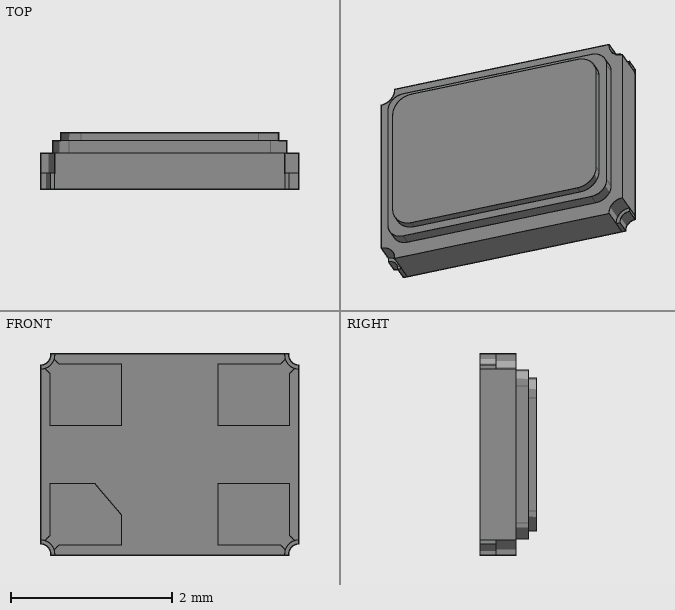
import cadquery as cq

BASE_WIDTH = 3.2
BASE_HEIGHT = 2.5
BASE_DEPTH = 0.448
CASTELLATION_RADIUS = 0.175
NOTCH_INSET = 0.015

RING_WIDTH = 2.902
RING_HEIGHT = 2.1
RING_DEPTH = 0.155
RING_CORNER_RADIUS = 0.2

LID_WIDTH = 2.7
LID_HEIGHT = 1.898
LID_DEPTH = 0.1
LID_CORNER_RADIUS = 0.25

PAD_WIDTH = 0.885
PAD_HEIGHT = 0.76
PAD_SIDE_MARGIN = 0.115
PAD_END_MARGIN = NOTCH_INSET + PAD_SIDE_MARGIN
PAD_DEPTH = 0.01
LINING_RADIUS = 0.125
LINING_DEPTH = 0.2
LINK_REACH = 0.115
BEVEL_WIDTH = 0.333
BEVEL_HEIGHT = 0.39

CORNER_X = BASE_WIDTH / 2
CORNER_Z = BASE_HEIGHT / 2
RING_START = BASE_DEPTH
LID_START = RING_START + RING_DEPTH

CORNERS = [(-1, -1), (1, -1), (-1, 1), (1, 1)]
MARKED_CORNER = (-1, -1)


def plate(width, height, start, depth):
    """A rectangular plate reaching from Y = start to Y = start + depth."""
    return cq.Workplane("XY").box(width, depth, height).translate((0, start + depth / 2, 0))


def corner_post(radius, depth):
    """A round post on the axis of the lower left notch, running back from the front face."""
    return cq.Workplane("XZ").center(-CORNER_X, NOTCH_INSET - CORNER_Z).circle(radius).extrude(-depth)


def at_corner(shape, x_side, z_side):
    """Mirror a shape made at the lower left corner to the corner on the given sides."""
    if x_side > 0:
        shape = shape.mirror("YZ")
    if z_side > 0:
        shape = shape.mirror("XY")
    return shape


def make_terminal(marked):
    """The terminal of the lower left corner; the marked one has a bevelled inner corner."""
    pad_x = -CORNER_X + PAD_SIDE_MARGIN
    pad_z = -CORNER_Z + PAD_END_MARGIN
    pad = (
        cq.Workplane("XZ")
        .center(pad_x, pad_z)
        .rect(PAD_WIDTH, PAD_HEIGHT, centered=False)
        .extrude(-PAD_DEPTH)
    )
    if marked:
        bevel = (
            cq.Workplane("XZ")
            .center(pad_x + PAD_WIDTH, pad_z + PAD_HEIGHT)
            .polyline([(0, 0), (-BEVEL_WIDTH, 0), (0, -BEVEL_HEIGHT)])
            .close()
            .extrude(-PAD_DEPTH)
        )
        pad = pad.cut(bevel)

    link_run = PAD_SIDE_MARGIN + PAD_END_MARGIN
    link = (
        cq.Workplane("XZ")
        .center(pad_x, pad_z)
        .polyline(
            [
                (LINK_REACH, 0),
                (LINK_REACH - link_run, -link_run),
                (-link_run, LINK_REACH - link_run),
                (0, LINK_REACH),
            ]
        )
        .close()
        .extrude(-PAD_DEPTH)
    )
    lining = corner_post(CASTELLATION_RADIUS, LINING_DEPTH)
    blank = plate(BASE_WIDTH, BASE_HEIGHT, 0, BASE_DEPTH)
    notch = corner_post(LINING_RADIUS, LINING_DEPTH)
    return pad.union(link).union(lining).intersect(blank).cut(notch)


def make_housing(terminals):
    """The base with notched corners, its two rear steps and a recess for every terminal."""
    base = plate(BASE_WIDTH, BASE_HEIGHT, 0, BASE_DEPTH)
    notch = corner_post(CASTELLATION_RADIUS, BASE_DEPTH)
    for x_side, z_side in CORNERS:
        base = base.cut(at_corner(notch, x_side, z_side))
    ring = plate(RING_WIDTH, RING_HEIGHT, RING_START, RING_DEPTH).edges("|Y").fillet(RING_CORNER_RADIUS)
    lid = plate(LID_WIDTH, LID_HEIGHT, LID_START, LID_DEPTH).edges("|Y").fillet(LID_CORNER_RADIUS)
    housing = base.union(ring).union(lid)
    for terminal in terminals:
        housing = housing.cut(terminal)
    return housing


terminals = []
for corner in CORNERS:
    terminal = make_terminal(marked=corner == MARKED_CORNER)
    terminals.append(at_corner(terminal, *corner))
housing = make_housing(terminals)

result = cq.Compound.makeCompound([housing.val(), *[terminal.val() for terminal in terminals]])